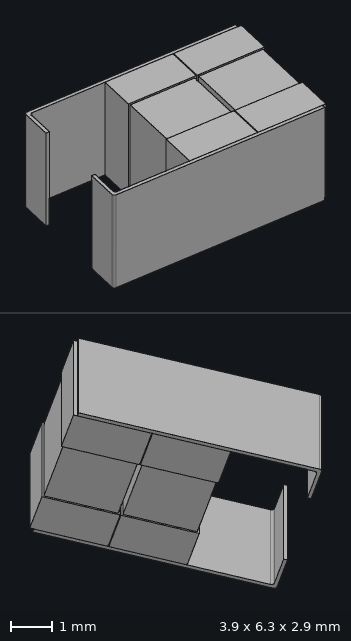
import cadquery as cq

overall_width = 3.9
overall_length = 6.3
height = 2.9

lead_thickness = 0.1
foot_length = 0.95
bend_radius = 0.075
chip_overhang = 0.1
lead_length = overall_length - chip_overhang

chip_count = 2
chip_width = overall_width - 2 * lead_thickness
chip_depth = 1.99
chip_gap = 0.02
chip_pitch = chip_depth + chip_gap
terminal_width = 1.03
ceramic_width = chip_width - 2 * terminal_width
ceramic_recess = 0.05
rear_chip_y = overall_length - chip_depth / 2


def make_chip(center_y):
    """Chip with a slightly thinner ceramic middle between two end terminals."""
    terminal_offset = (chip_width - terminal_width) / 2
    chip = cq.Workplane("XY").box(
        ceramic_width, chip_depth - 2 * ceramic_recess, height - 2 * ceramic_recess
    )
    for side in (-1, 1):
        terminal = cq.Workplane("XY").box(terminal_width, chip_depth, height)
        chip = chip.union(terminal.translate((side * terminal_offset, 0, 0)))
    return chip.translate((0, center_y, 0))


def make_left_lead():
    """L-shaped sheet lead whose foot turns inward at the front."""
    outer_x = -overall_width / 2
    inner_x = outer_x + lead_thickness
    foot_tip_x = outer_x + foot_length
    lead = (
        cq.Workplane("XY")
        .workplane(offset=-height / 2)
        .moveTo(outer_x, 0)
        .lineTo(foot_tip_x, 0)
        .lineTo(foot_tip_x, lead_thickness)
        .lineTo(inner_x, lead_thickness)
        .lineTo(inner_x, lead_length)
        .lineTo(outer_x, lead_length)
        .close()
        .extrude(height)
    )
    outer_corner = cq.selectors.NearestToPointSelector((outer_x, 0, 0))
    inner_corner = cq.selectors.NearestToPointSelector((inner_x, lead_thickness, 0))
    return lead.edges("|Z").edges(outer_corner + inner_corner).fillet(bend_radius)


left_lead = make_left_lead()
right_lead = left_lead.mirror("YZ")
chips = [make_chip(rear_chip_y - index * chip_pitch) for index in range(chip_count)]

result = cq.Compound.makeCompound(
    [left_lead.val(), right_lead.val(), *[chip.val() for chip in chips]]
)